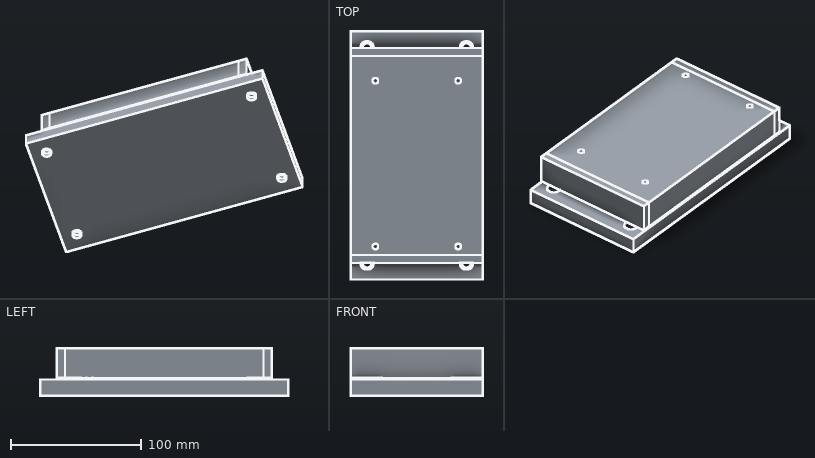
import cadquery as cq

stage_width = 101.5
base_length = 190.5
stage_height = 36.5

base_thickness = 12.5
carriage_thickness = 22.9
carriage_bottom = stage_height - carriage_thickness
pad_thickness = carriage_bottom - base_thickness

carriage_length = 152.4
end_plate_thickness = 6.3
end_plate_offset = (carriage_length + end_plate_thickness) / 2

pad_width = 52.8
pad_length = 127.0

mount_spacing_x = 76.2
mount_spacing_y = carriage_length + 2 * end_plate_thickness
mount_hole_diameter = 7.0
counterbore_diameter = 10.3
counterbore_depth = 7.6

fixing_spacing_x = 63.5
fixing_spacing_y = 127.0
fixing_shift_y = -6.3
fixing_hole_diameter = 4.4


def block(width, length, height, bottom):
    """Rectangular block centred on the Z axis, standing on the height `bottom`."""
    return cq.Workplane("XY", origin=(0, 0, bottom)).rect(width, length).extrude(height)


def make_base():
    """Base plate with a counterbored mounting hole near each corner."""
    return (
        block(stage_width, base_length, base_thickness, 0)
        .faces(">Z")
        .workplane()
        .rect(mount_spacing_x, mount_spacing_y, forConstruction=True)
        .vertices()
        .cboreHole(mount_hole_diameter, counterbore_diameter, counterbore_depth)
    )


def make_bearing_pad():
    """Thin pad that holds the carriage clear of the base."""
    return block(pad_width, pad_length, pad_thickness, base_thickness)


def make_carriage():
    """Moving table with four plain fixing holes."""
    return (
        block(stage_width, carriage_length, carriage_thickness, carriage_bottom)
        .faces(">Z")
        .workplane()
        .center(0, fixing_shift_y)
        .rect(fixing_spacing_x, fixing_spacing_y, forConstruction=True)
        .vertices()
        .hole(fixing_hole_diameter)
    )


def make_end_plate(side):
    """Plate on one end of the carriage; `side` is -1 for the -Y end and 1 for the +Y end."""
    plate = block(stage_width, end_plate_thickness, carriage_thickness, carriage_bottom)
    return plate.translate((0, side * end_plate_offset, 0))


base = make_base()
bearing_pad = make_bearing_pad()
carriage = make_carriage()
end_plates = [make_end_plate(side) for side in (-1, 1)]

result = cq.Compound.makeCompound([
    base.val(),
    bearing_pad.val(),
    carriage.val(),
    *[plate.val() for plate in end_plates],
])